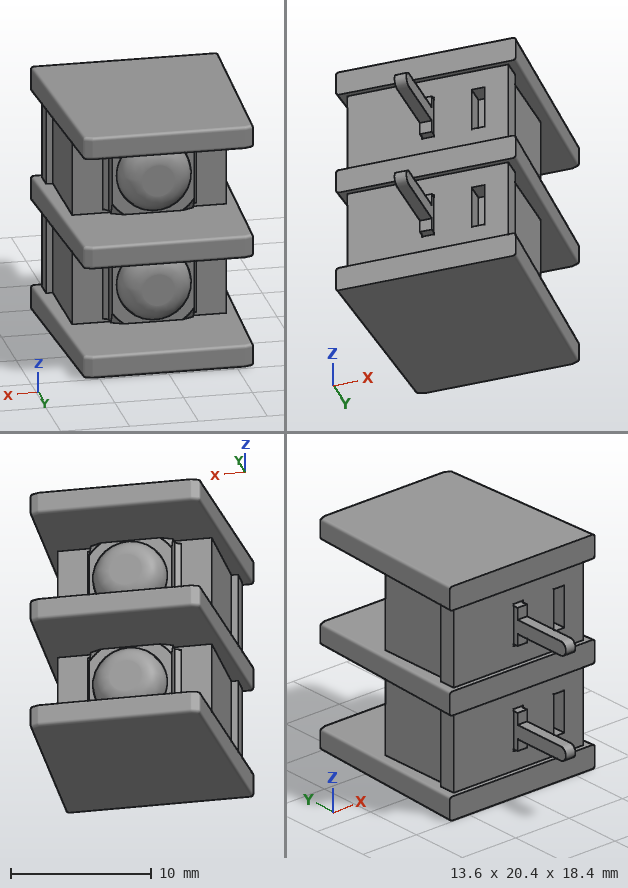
import cadquery as cq
import math


pole_count = 2
stack_height = 18.4
overall_length = 20.4
pin_reach = 5.26

plate_thickness = 1.9
plate_pitch = (stack_height - plate_thickness) / pole_count
plate_back_thickness = 1.67
plate_width = 13.6
plate_back_width = 12.35
plate_length = overall_length - pin_reach
plate_corner_width = 0.61
plate_corner_length = 0.25
plate_corner_radius = 0.2
plate_edge_radius = 0.25

body_front = 0.4
body_back = 8.4
flange_width = 12.15
flange_thickness = 1.43
body_width = 11.2

opening_height = 3.33
opening_depth = 1.43
slot_width = 0.98
slot_offset = 3.8

pin_width = 0.9
pin_thickness = 1.12
pin_shoulder_height = 3.0

clamp_size = 5.98
clamp_thickness = 1.35
clamp_flare = 0.4
clamp_flare_height = 0.27
clamp_flat_radius = 3.67
clamp_bevel_depth = 0.43
screw_radius = 2.67
screw_height = 1.71
screw_round = 1.49
clamp_corner_radius = clamp_size / math.sqrt(2)
clamp_back = body_back + clamp_thickness


def box_between(width, height, y_start, y_end, x_centre=0):
    """Box centred on X = x_centre and Z = 0, running along Y."""
    box = cq.Workplane("XY").box(width, y_end - y_start, height)
    return box.translate((x_centre, (y_start + y_end) / 2, 0))


def make_plate():
    """Divider plate tapering in width and thickness, with blunted back corners and rounded edges."""
    half_width = plate_width / 2
    half_back_width = plate_back_width / 2
    corner_start = plate_length - plate_corner_length
    outline = (
        cq.Workplane("XY")
        .moveTo(-half_width, 0)
        .lineTo(-half_back_width, corner_start)
        .lineTo(-half_back_width + plate_corner_width, plate_length)
        .lineTo(half_back_width - plate_corner_width, plate_length)
        .lineTo(half_back_width, corner_start)
        .lineTo(half_width, 0)
        .close()
        .extrude(plate_thickness / 2, both=True)
    )
    profile = (
        cq.Workplane("YZ")
        .moveTo(0, -plate_thickness / 2)
        .lineTo(plate_length, -plate_back_thickness / 2)
        .lineTo(plate_length, plate_back_thickness / 2)
        .lineTo(0, plate_thickness / 2)
        .close()
        .extrude(half_width, both=True)
    )
    plate = outline.intersect(profile)
    plate = plate.edges("|Z and (not <Y)").fillet(plate_corner_radius)
    return plate.faces(">Z or <Z").edges("not <Y").fillet(plate_edge_radius)


def make_body():
    """Body block with a wider front flange and two openings in its front."""
    flange = box_between(flange_width, plate_pitch, body_front, body_front + flange_thickness)
    block = box_between(body_width, plate_pitch, body_front, body_back)
    opening_end = body_front + opening_depth
    pin_opening = box_between(pin_width, opening_height, body_front, opening_end)
    slot = box_between(slot_width, opening_height, body_front, opening_end, slot_offset)
    return flange.union(block).cut(pin_opening).cut(slot)


def make_pin():
    """Flat pin with a shoulder in the body and a fully rounded tip."""
    half_thickness = pin_thickness / 2
    round_start = half_thickness - pin_reach
    blade = (
        cq.Workplane("YZ")
        .moveTo(0, half_thickness)
        .lineTo(round_start, half_thickness)
        .threePointArc((-pin_reach, 0), (round_start, -half_thickness))
        .lineTo(0, -half_thickness)
        .close()
        .extrude(pin_width / 2, both=True)
    )
    shoulder = box_between(pin_width, pin_shoulder_height, 0, body_front + opening_depth)
    return blade.union(shoulder)


def make_clamp():
    """Square clamp plate with conically bevelled corners and base sides flared along X."""
    clamp = box_between(clamp_size, clamp_size, body_back, clamp_back)
    bevel_start = clamp_back - clamp_bevel_depth
    bevel = (
        cq.Workplane("XY")
        .moveTo(0, body_back)
        .lineTo(clamp_corner_radius, body_back)
        .lineTo(clamp_corner_radius, bevel_start)
        .lineTo(clamp_flat_radius, clamp_back)
        .lineTo(0, clamp_back)
        .close()
        .revolve(360, (0, 0, 0), (0, 1, 0))
    )
    half_size = clamp_size / 2
    flare = (
        cq.Workplane("XY")
        .moveTo(-half_size - clamp_flare, body_back)
        .lineTo(half_size + clamp_flare, body_back)
        .lineTo(half_size, body_back + clamp_flare_height)
        .lineTo(-half_size, body_back + clamp_flare_height)
        .close()
        .extrude(half_size, both=True)
    )
    return clamp.intersect(bevel).union(flare)


def make_screw_head():
    """Round screw head with a generously rounded rim."""
    head = cq.Workplane("XZ", origin=(0, clamp_back, 0)).circle(screw_radius).extrude(-screw_height)
    return head.faces(">Y").edges().fillet(screw_round)


pole = make_body().union(make_pin()).union(make_clamp()).union(make_screw_head())
plate = make_plate()
lowest_plate = -pole_count * plate_pitch / 2

result = plate.translate((0, 0, lowest_plate))
for index in range(pole_count):
    plate_below = lowest_plate + index * plate_pitch
    result = result.union(pole.translate((0, 0, plate_below + plate_pitch / 2)))
    result = result.union(plate.translate((0, 0, plate_below + plate_pitch)))